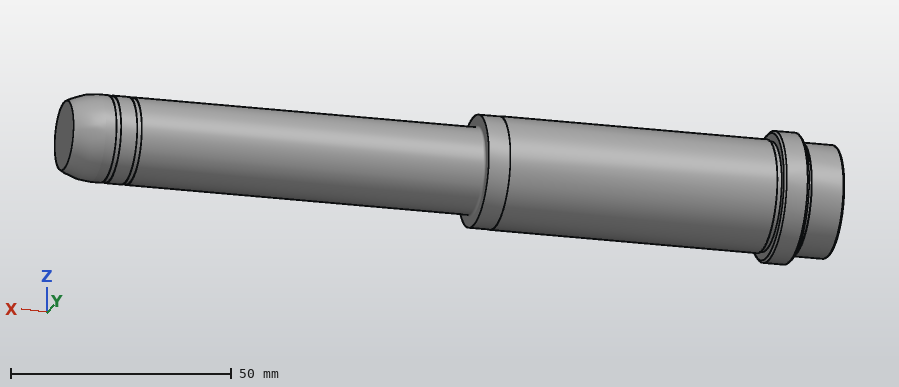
import cadquery as cq

total_length = 180.0
body_length = 83.7
body_diameter = 26.0
head_chamfer = 0.4
pin_diameter = 20.0

collar_start = 8.8
collar_width = 6.0
collar_diameter = 30.0
collar_chamfer = 0.5

relief_width = 1.0
relief_depth = 0.4

lead_length = 5.0
lead_depth = 0.07

root_fillet = 0.5

groove_starts = (164.5, 169.4)
groove_width = 1.0
groove_depth = 0.2

tip_length = 7.0
tip_end_diameter = 15.8


def cylinder(start, length, diameter):
    """Solid cylinder on the X axis."""
    return cq.Workplane("YZ", origin=(start, 0, 0)).circle(diameter / 2).extrude(length)


def ring(start, length, outer_diameter, depth):
    """Ring that removes the given radial depth from a cylinder."""
    core = cylinder(start, length, outer_diameter - 2 * depth)
    return cylinder(start, length, outer_diameter).cut(core)


def make_pin():
    """Pin core with a root fillet and a tip that curves in tangentially."""
    radius = pin_diameter / 2
    tip_start = total_length - tip_length
    return (
        cq.Workplane("XY")
        .lineTo(0, radius + root_fillet)
        .lineTo(body_length, radius + root_fillet)
        .radiusArc((body_length + root_fillet, radius), -root_fillet)
        .lineTo(tip_start, radius)
        .tangentArcPoint((total_length, tip_end_diameter / 2), relative=False)
        .lineTo(total_length, 0)
        .close()
        .revolve(360, (0, 0, 0), (1, 0, 0))
    )


collar_end = collar_start + collar_width
collar = cylinder(collar_start, collar_width, collar_diameter).edges().chamfer(collar_chamfer)

body = cylinder(0, body_length, body_diameter).faces("<X").edges().chamfer(head_chamfer)
for relief_start in (collar_start - relief_width, collar_end):
    body = body.cut(ring(relief_start, relief_width, body_diameter, relief_depth))
body = body.cut(ring(body_length - lead_length, lead_length, body_diameter, lead_depth))

pin = make_pin()
for groove_start in groove_starts:
    pin = pin.cut(ring(groove_start, groove_width, pin_diameter, groove_depth))

result = body.union(collar).union(pin)